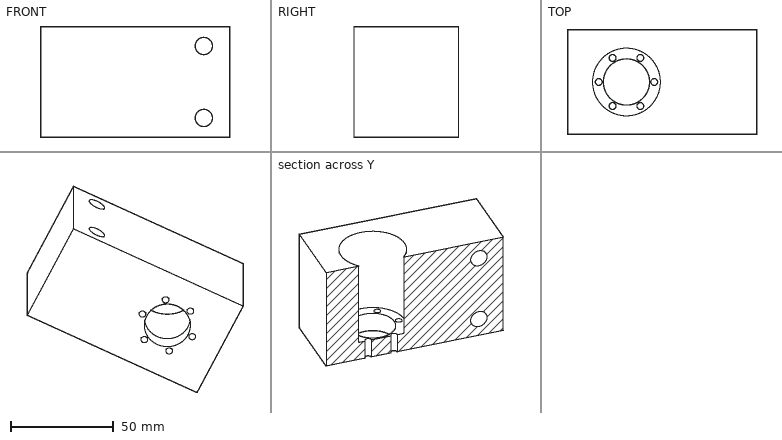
import cadquery as cq

length = 92.1
width = 50.8
height = 54.0

bore_from_end = 28.6
bore_diameter = 33.0
through_diameter = 22.4
floor_thickness = 10.0
bore_x = bore_from_end - length / 2
bore_depth = height - floor_thickness

ring_hole_count = 6
ring_hole_diameter = 3.2
ring_diameter = 27.0

cross_hole_diameter = 8.3
cross_hole_from_end = 12.7
cross_hole_edge_distance = 9.5
cross_hole_x = length / 2 - cross_hole_from_end
cross_hole_spacing = height - 2 * cross_hole_edge_distance


def cut_stepped_bore(body):
    """Cut the blind bore from the top and the smaller bore through its floor."""
    return (
        body.faces(">Z").workplane(origin=(bore_x, 0, 0))
        .cboreHole(through_diameter, bore_diameter, bore_depth)
    )


def cut_ring_holes(body):
    """Drill the ring of holes through the floor from below."""
    holes = (
        cq.Workplane("XY", origin=(bore_x, 0, -height / 2))
        .polarArray(ring_diameter / 2, 0, 360, ring_hole_count)
        .circle(ring_hole_diameter / 2)
        .extrude(floor_thickness)
    )
    return body.cut(holes)


def cut_cross_holes(body):
    """Drill the two holes through the full width."""
    holes = (
        cq.Workplane("XZ", origin=(cross_hole_x, 0, 0))
        .rarray(0.9, cross_hole_spacing, 1, 2)
        .circle(cross_hole_diameter / 2)
        .extrude(width / 2, both=True)
    )
    return body.cut(holes)


block = cq.Workplane("XY").box(length, width, height)
result = cut_cross_holes(cut_ring_holes(cut_stepped_bore(block)))